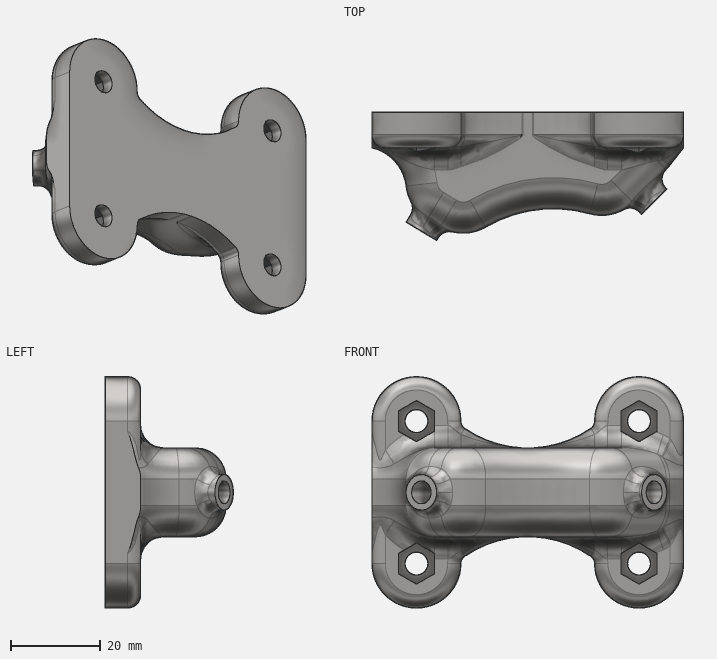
import cadquery as cq
import math

plate_width = 70.0
plate_height = 52.0
overall_depth = 28.82
plate_thickness = 8.0
plate_edge_round = 3.0
lobe_radius = 10.0
lobe_x = plate_width / 2 - lobe_radius
lobe_z = plate_height / 2 - lobe_radius
waist_radius = 25.0
waist_corner_radius = 2.0

bore_diameter = 5.1
nut_across_flats = 8.0
nut_seat_depth = 3.0

arm_half_height = 10.0
arm_front_round = 7.0
arm_root_fillet = 5.0
bend_radius = 10.0
saddle_radius = 30.0
left_bend = (-17.4, -15.45)
nose_bend = (-14.5, -17.2)
right_bend = (16.6, -13.2)
right_face_angle = math.radians(-45)
right_face_length = 10.5
plate_left_corner = (-plate_width / 2, -plate_thickness)
plate_right_corner = (plate_width / 2, -plate_thickness)

spigot_diameter = 8.0
spigot_embedded_length = 9.0
spigot_root_fillet = 3.0
spigot_bore_depth = 10.0
left_spigot_tip_x = -23.9
right_spigot_tip = (28.4, -20.1)

margin = 0.1


def step(point, angle, distance):
    """Point reached from `point` by going `distance` along `angle` (radians)."""
    return (point[0] + distance * math.cos(angle), point[1] + distance * math.sin(angle))


def angle_to(start, end):
    """Direction from start to end (radians)."""
    return math.atan2(end[1] - start[1], end[0] - start[0])


def circle_crossing(first, first_radius, second, second_radius):
    """Crossing of two circles on the right-hand side when looking from first to second."""
    gap = math.dist(first, second)
    cosine = (gap**2 + first_radius**2 - second_radius**2) / (2 * gap * first_radius)
    return step(first, angle_to(first, second) - math.acos(cosine), first_radius)


def arc_middle(center, start, end, radius):
    """Middle point of the shorter arc from start to end."""
    chord_middle = ((start[0] + end[0]) / 2, (start[1] + end[1]) / 2)
    return step(center, angle_to(center, chord_middle), radius)


left_face_angle = angle_to(left_bend, nose_bend) - math.pi / 2

left_spigot_tip = (
    left_spigot_tip_x,
    spigot_diameter / 2 * abs(math.cos(left_face_angle)) - overall_depth,
)


def make_plate():
    """Plate whose waist arcs run tangentially through small corner arcs into the lobe sides."""
    inner_x = lobe_x - lobe_radius
    corner_center = (inner_x - waist_corner_radius, lobe_z)
    center_gap = waist_radius - waist_corner_radius
    waist_center = (0.0, lobe_z + math.sqrt(center_gap**2 - corner_center[0] ** 2))
    waist_end = step(waist_center, angle_to(waist_center, corner_center), waist_radius)
    corner_start = (inner_x, lobe_z)
    corner_middle = arc_middle(corner_center, corner_start, waist_end, waist_corner_radius)
    waist_bottom = (0.0, waist_center[1] - waist_radius)

    outline = cq.Workplane("XZ").moveTo(-plate_width / 2, -lobe_z)
    for side in (1, -1):
        def place(x, z):
            return (side * x, side * z)

        outline = (
            outline.lineTo(*place(-plate_width / 2, lobe_z))
            .threePointArc(place(-lobe_x, plate_height / 2), place(-corner_start[0], corner_start[1]))
            .threePointArc(place(-corner_middle[0], corner_middle[1]), place(-waist_end[0], waist_end[1]))
            .threePointArc(place(*waist_bottom), place(*waist_end))
            .threePointArc(place(*corner_middle), place(*corner_start))
            .threePointArc(place(lobe_x, plate_height / 2), place(plate_width / 2, lobe_z))
        )
    return outline.close().extrude(plate_thickness).faces("<Y").edges().fillet(plate_edge_round)


def make_arm():
    """Bent bar: slanted faces and arcs joined tangentially, with both front rims rounded."""
    cove_center = circle_crossing(plate_left_corner, bend_radius, left_bend, 2 * bend_radius)
    saddle_gap = bend_radius + saddle_radius
    saddle_center = circle_crossing(nose_bend, saddle_gap, right_bend, saddle_gap)

    cove_end = step(cove_center, angle_to(cove_center, left_bend), bend_radius)
    left_bend_end = step(left_bend, left_face_angle, bend_radius)
    nose_start = step(nose_bend, left_face_angle, bend_radius)
    saddle_start = step(nose_bend, angle_to(nose_bend, saddle_center), bend_radius)
    saddle_end = step(right_bend, angle_to(right_bend, saddle_center), bend_radius)
    right_bend_end = step(right_bend, right_face_angle, bend_radius)
    shoulder_start = step(right_bend_end, right_face_angle + math.pi / 2, right_face_length)
    shoulder_center = step(shoulder_start, right_face_angle, -bend_radius)
    corner_gap = math.dist(shoulder_center, plate_right_corner)
    flank_angle = angle_to(shoulder_center, plate_right_corner) - math.acos(bend_radius / corner_gap)
    shoulder_end = step(shoulder_center, flank_angle, bend_radius)

    outline = (
        cq.Workplane("XY", origin=(0, 0, -arm_half_height))
        .moveTo(-plate_width / 2, 0)
        .lineTo(*plate_left_corner)
        .threePointArc(arc_middle(cove_center, plate_left_corner, cove_end, bend_radius), cove_end)
        .threePointArc(arc_middle(left_bend, cove_end, left_bend_end, bend_radius), left_bend_end)
        .lineTo(*nose_start)
        .threePointArc(arc_middle(nose_bend, nose_start, saddle_start, bend_radius), saddle_start)
        .threePointArc(arc_middle(saddle_center, saddle_start, saddle_end, saddle_radius), saddle_end)
        .threePointArc(arc_middle(right_bend, saddle_end, right_bend_end, bend_radius), right_bend_end)
        .lineTo(*shoulder_start)
        .threePointArc(arc_middle(shoulder_center, shoulder_start, shoulder_end, bend_radius), shoulder_end)
        .lineTo(*plate_right_corner)
        .lineTo(plate_width / 2, 0)
        .close()
    )
    arm = outline.extrude(2 * arm_half_height)
    front_rim = cq.selectors.BoxSelector(
        (margin - plate_width / 2, -overall_depth, -arm_half_height - margin),
        (plate_width / 2 - margin, margin - plate_thickness, arm_half_height + margin),
    )
    return arm.faces("|Z").edges(front_rim).fillet(arm_front_round)


def join_arm_to_plate(plate, arm):
    """Unite plate and arm with rounded seams; the upper half is finished, then mirrored about Z = 0."""
    upper_seams = cq.selectors.BoxSelector(
        (-plate_width / 2, -plate_thickness - margin, arm_half_height - arm_front_round),
        (plate_width / 2, plate_edge_round - plate_thickness - margin, arm_half_height + margin),
    )
    upper_space = cq.Workplane("XY").box(
        2 * plate_width, 3 * overall_depth, plate_height, centered=(True, True, False)
    )
    upper_half = plate.union(arm).edges(upper_seams).fillet(arm_root_fillet).intersect(upper_space)
    return upper_half.union(upper_half.mirror("XY"))


def add_spigot(body, tip, face_angle):
    """Round bored stub along the arm face's normal, ending at `tip`, with a filleted root."""
    axis = cq.Vector(math.cos(face_angle), math.sin(face_angle), 0)
    tip_center = cq.Vector(tip[0], tip[1], 0)
    radius = spigot_diameter / 2
    stub = cq.Solid.makeCylinder(radius, spigot_embedded_length, tip_center, axis * -1)
    bore = cq.Solid.makeCylinder(bore_diameter / 2, spigot_bore_depth, tip_center, axis * -1)

    def is_root_point(point):
        offset = point - tip_center
        along = offset.dot(axis)
        across = (offset - axis * along).Length
        return abs(across - radius) < margin and -spigot_embedded_length < along < -spigot_root_fillet

    joined = body.union(cq.Workplane(stub))
    root_edges = [
        edge
        for edge in joined.edges().vals()
        if all(is_root_point(edge.positionAt(place)) for place in (0, 0.5, 1))
    ]
    return joined.newObject(root_edges).fillet(spigot_root_fillet).cut(cq.Workplane(bore))


def cut_screw_holes(body):
    """Four bores through the lobes with nut pockets opening to the front, two hexagon corners on Z."""
    nut_corner_diameter = nut_across_flats / math.cos(math.pi / 6)
    pocket_length = plate_thickness + arm_root_fillet - nut_seat_depth
    places = [(x, z) for x in (-lobe_x, lobe_x) for z in (-lobe_z, lobe_z)]
    bores = cq.Workplane("XZ").pushPoints(places).circle(bore_diameter / 2).extrude(plate_thickness)
    for x, z in places:
        pocket = (
            cq.Workplane("XZ", origin=(x, -nut_seat_depth, z))
            .transformed(rotate=(0, 0, 90))
            .polygon(6, nut_corner_diameter)
            .extrude(pocket_length)
        )
        body = body.cut(pocket)
    return body.cut(bores)


bracket = join_arm_to_plate(make_plate(), make_arm())
bracket = add_spigot(bracket, left_spigot_tip, left_face_angle)
bracket = add_spigot(bracket, right_spigot_tip, right_face_angle)
result = cut_screw_holes(bracket)